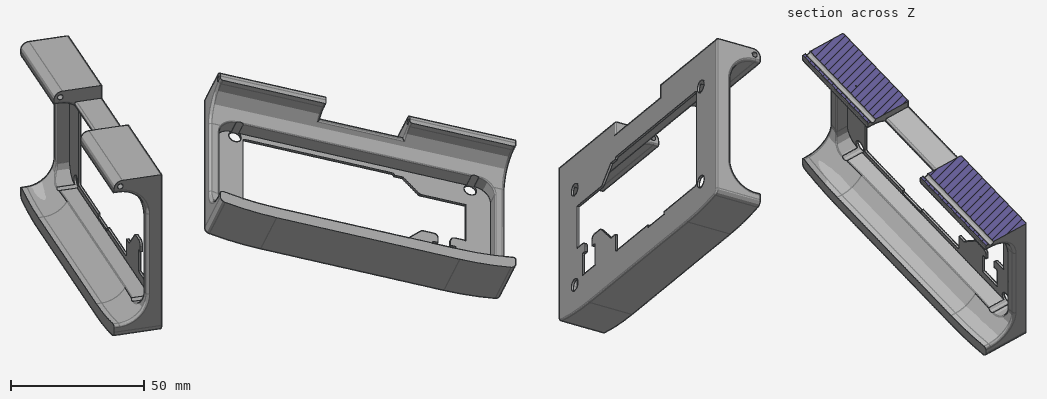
import cadquery as cq
import math

LENGTH = 117.0
DEPTH = 19.0
HEIGHT = 68.0
HALF_LENGTH = LENGTH / 2

BOW_START = 36.3
BOW_RADIUS = 114.7
LOWER_CORNER_RADIUS = 2.3
BACK_FILLET = 0.6

LIP_HEIGHT = 5.0
COVE_TOP = 62.8
RIM_DEPTH = 6.1
COVE_RADIUS = 10.8
END_OVERRUN = 2.3
RIM_FILLET = 1.0

BARREL_RADIUS = 3.3
PIN_DIAMETER = 2.1
PIN_INSET = 2.5

NOTCH_WIDTH = 33.2
BAR_TOP = 62.6
BAR_DEPTH = 10.8
NOTCH_FILLET = 0.7

CENTRE_Z = 32.6
FLOOR_THICKNESS = 0.9
FLOOR_LENGTH = 109.0
FLOOR_HEIGHT = 44.7
POCKET_RADIUS = 6.3
POCKET_RIM_FILLET = 0.5
HOLE_DIAMETER = 4.9
HOLE_SPACING_X = 93.1
HOLE_SPACING_Z = 40.7

WINDOW_LEFT = -43.4
WINDOW_STEP_X = 16.5
WINDOW_BOTTOM = 12.3
WINDOW_TOP = 52.6
WINDOW_CORNER_RADIUS = 0.9
STEP_TOP = 51.7
STEP_BOTTOM = 19.7
TAPER_START_X = 19.9
ARM_RIGHT = 44.8
ARM_TOP = 45.0
ARM_BOTTOM = 27.1
ARM_BEND_RADIUS = 1.8
RECESS_LEFT = -19.3
RECESS_RIGHT = -7.5
RECESS_BOTTOM = 11.2
KEY_CENTRE_X = 36.3
KEY_WIDTH = 9.2
KEY_TOP = 22.9
KEY_BOTTOM = 13.7
KEY_CORNER_RADIUS = 0.6
KEY_NECK_WIDTH = 4.9
KEY_NECK_RADIUS = 1.9

MARGIN = 0.4


def front_sketch(depth=0.0):
    """Workplane whose extrusions run towards the front, starting at a depth from the back."""
    return cq.Workplane("XZ", origin=(0, -depth, 0))


def bowed_outline(half_length, top, bottom):
    """Outline with a flat top and a lower edge that bows up; all offsets share the arc centres."""
    radius = BOW_RADIUS - bottom

    def arc_point(x):
        reach = x - BOW_START
        return x, BOW_RADIUS - math.sqrt(radius**2 - reach**2)

    end_x, end_z = arc_point(half_length)
    mid_x, mid_z = arc_point((half_length + BOW_START) / 2)
    return (
        front_sketch(0)
        .moveTo(-half_length, top)
        .lineTo(half_length, top)
        .lineTo(end_x, end_z)
        .threePointArc((mid_x, mid_z), (BOW_START, bottom))
        .lineTo(-BOW_START, bottom)
        .threePointArc((-mid_x, mid_z), (-end_x, end_z))
        .close()
    )


def make_block():
    block = bowed_outline(HALF_LENGTH, HEIGHT, 0).extrude(DEPTH)
    block = block.faces("<X or >X").edges("|Y").edges("<Z").fillet(LOWER_CORNER_RADIUS)
    return block.faces("<Y").edges(">Z").fillet(BARREL_RADIUS)


def make_cove():
    cove = bowed_outline(HALF_LENGTH + END_OVERRUN, COVE_TOP, LIP_HEIGHT).extrude(DEPTH - RIM_DEPTH)
    cove = cove.translate((0, -RIM_DEPTH, 0))
    return cove.faces(">Y").edges("not(<X or >X)").fillet(COVE_RADIUS)


def region(half_x, depths, heights):
    """Selector for edges centred in a box that is symmetric about X = 0."""
    return cq.selectors.BoxSelector(
        (-half_x, -max(depths), min(heights)),
        (half_x, -min(depths), max(heights)),
    )


def make_notch():
    over_bar = (
        cq.Workplane("XY", origin=(0, 0, BAR_TOP))
        .rect(NOTCH_WIDTH, 2 * DEPTH)
        .extrude(HEIGHT)
    )
    in_front = (
        cq.Workplane("XY", origin=(0, -BAR_DEPTH - DEPTH / 2, CENTRE_Z))
        .rect(NOTCH_WIDTH, DEPTH)
        .extrude(HEIGHT)
    )
    return over_bar.union(in_front)


def make_pocket():
    return (
        front_sketch(FLOOR_THICKNESS)
        .center(0, CENTRE_Z)
        .rect(FLOOR_LENGTH, FLOOR_HEIGHT)
        .extrude(DEPTH)
        .edges("|Y")
        .fillet(POCKET_RADIUS)
    )


def window_part(points):
    return front_sketch().polyline(points).close().extrude(DEPTH)


def make_window():
    """Main window, an arm tapering off to its right and a key slot below the arm."""
    main = window_part([
        (WINDOW_LEFT, WINDOW_BOTTOM),
        (WINDOW_STEP_X, WINDOW_BOTTOM),
        (WINDOW_STEP_X, WINDOW_TOP),
        (WINDOW_LEFT, WINDOW_TOP),
    ]).edges("|Y").fillet(WINDOW_CORNER_RADIUS)
    upper_taper_end = TAPER_START_X + STEP_TOP - ARM_TOP
    lower_taper_end = TAPER_START_X + ARM_BOTTOM - STEP_BOTTOM
    arm = window_part([
        (0, STEP_BOTTOM),
        (TAPER_START_X, STEP_BOTTOM),
        (lower_taper_end, ARM_BOTTOM),
        (ARM_RIGHT, ARM_BOTTOM),
        (ARM_RIGHT, ARM_TOP),
        (upper_taper_end, ARM_TOP),
        (TAPER_START_X, STEP_TOP),
        (0, STEP_TOP),
    ])
    bends = cq.selectors.BoxSelector(
        (TAPER_START_X + 1.2, -2 * DEPTH, 0),
        (ARM_RIGHT - 1.2, DEPTH, HEIGHT),
    )
    arm = arm.edges("|Y").edges(bends).fillet(ARM_BEND_RADIUS)
    recess = window_part([
        (RECESS_LEFT, RECESS_BOTTOM),
        (RECESS_RIGHT, RECESS_BOTTOM),
        (RECESS_RIGHT, CENTRE_Z),
        (RECESS_LEFT, CENTRE_Z),
    ])
    return main.union(arm).union(recess).union(make_key_slot())


def make_key_slot():
    """Square slot reached from the arm through a neck whose mouth is rounded."""
    slot_height = KEY_TOP - KEY_BOTTOM
    slot = (
        front_sketch()
        .center(KEY_CENTRE_X, (KEY_TOP + KEY_BOTTOM) / 2)
        .rect(KEY_WIDTH, slot_height)
        .extrude(DEPTH)
        .edges("|Y and >Z")
        .fillet(KEY_CORNER_RADIUS)
    )
    half_neck = KEY_NECK_WIDTH / 2
    half_mouth = half_neck + KEY_NECK_RADIUS
    mouth_start = ARM_BOTTOM - KEY_NECK_RADIUS
    neck = (
        front_sketch()
        .center(KEY_CENTRE_X, 0)
        .moveTo(-half_neck, KEY_BOTTOM)
        .lineTo(half_neck, KEY_BOTTOM)
        .lineTo(half_neck, mouth_start)
        .radiusArc((half_mouth, ARM_BOTTOM), KEY_NECK_RADIUS)
        .lineTo(-half_mouth, ARM_BOTTOM)
        .radiusArc((-half_neck, mouth_start), KEY_NECK_RADIUS)
        .close()
        .extrude(DEPTH)
    )
    return slot.union(neck)


def make_holes():
    return (
        front_sketch()
        .center(0, CENTRE_Z)
        .rect(HOLE_SPACING_X, HOLE_SPACING_Z, forConstruction=True)
        .vertices()
        .circle(HOLE_DIAMETER / 2)
        .extrude(DEPTH)
    )


def make_pin_bore():
    return (
        cq.Workplane("YZ", origin=(-HALF_LENGTH, PIN_INSET - DEPTH, HEIGHT - PIN_INSET))
        .circle(PIN_DIAMETER / 2)
        .extrude(LENGTH)
    )


result = make_block().cut(make_cove())
cove_ends = region(
    HALF_LENGTH + MARGIN,
    (RIM_DEPTH - MARGIN, DEPTH - MARGIN),
    (LIP_HEIGHT + MARGIN, COVE_TOP + MARGIN),
)
result = result.edges(cove_ends).edges("<X or >X").fillet(RIM_FILLET)

result = result.cut(make_notch())
notch_rim = region(
    NOTCH_WIDTH / 2 + MARGIN,
    (BAR_DEPTH - MARGIN, DEPTH - 2 * MARGIN),
    (BAR_TOP - 2.3, BAR_TOP + MARGIN),
)
result = result.edges(notch_rim).edges("not |Z").fillet(NOTCH_FILLET)
result = result.faces(">Y").edges().fillet(BACK_FILLET)

result = result.cut(make_pocket())
pocket_rim = region(
    FLOOR_LENGTH / 2 + MARGIN,
    (RIM_DEPTH - MARGIN, RIM_DEPTH + 2.3),
    (CENTRE_Z - FLOOR_HEIGHT / 2 - MARGIN, CENTRE_Z + FLOOR_HEIGHT / 2 + MARGIN),
)
result = result.edges(pocket_rim).fillet(POCKET_RIM_FILLET)

result = result.cut(make_window()).cut(make_holes()).cut(make_pin_bore())